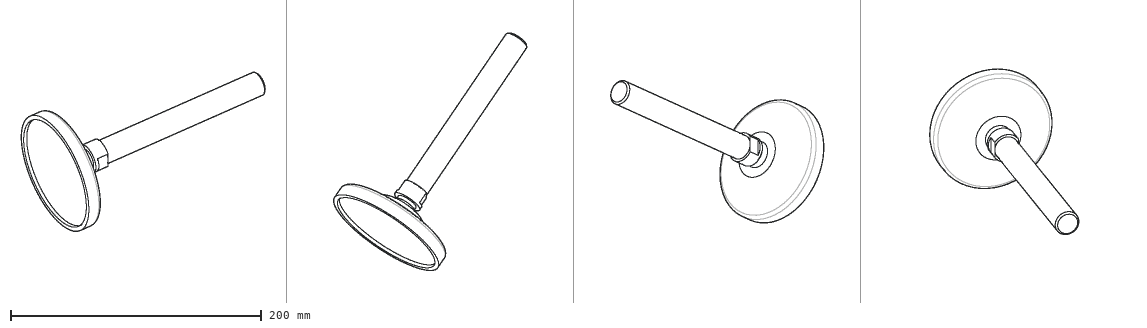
import cadquery as cq
import math

total_length = 194.0

pad_radius = 100.0 / 2
pad_top_radius = 19.0
pad_height = 23.5
rim_height = 12.2
rim_round = 2.7
flare_sag = 1.5
recess_radius = 92.5 / 2
recess_depth = 3.0

ball_radius = 11.3
ball_center = 20.8
neck_radius = 17.0 / 2

collar_radius = 24.0 / 2
collar_bottom = 31.0
collar_top = 43.8
flat_bottom = 34.0
flat_spacing = 20.0

rod_radius = 20.0 / 2
rod_chamfer = 1.5


def cylinder(radius, start, end):
    """Solid cylinder on the Y axis between two heights."""
    return cq.Workplane("XZ", origin=(0, start, 0)).circle(radius).extrude(start - end)


def make_pad():
    """Revolved pad with a concave flare, a rounded rim and a recessed underside."""
    flare_end_radius = pad_radius - rim_round
    flare_run = flare_end_radius - pad_top_radius
    flare_drop = pad_height - rim_height
    flare_chord = math.hypot(flare_run, flare_drop)
    flare_middle = (
        (flare_end_radius + pad_top_radius) / 2 - flare_sag * flare_drop / flare_chord,
        (pad_height + rim_height) / 2 - flare_sag * flare_run / flare_chord,
    )
    round_start = rim_height - rim_round
    round_middle = (
        flare_end_radius + rim_round * math.sqrt(0.5),
        round_start + rim_round * math.sqrt(0.5),
    )
    return (
        cq.Workplane("XY")
        .moveTo(0, recess_depth)
        .lineTo(recess_radius, recess_depth)
        .lineTo(recess_radius, 0)
        .lineTo(pad_radius, 0)
        .lineTo(pad_radius, round_start)
        .threePointArc(round_middle, (flare_end_radius, rim_height))
        .threePointArc(flare_middle, (pad_top_radius, pad_height))
        .lineTo(0, pad_height)
        .close()
        .revolve(360, (0, 0, 0), (0, 1, 0))
    )


def make_ball_and_neck():
    """Ball seated in the pad, with the neck rising from it to the collar."""
    ball = cq.Workplane("XY").sphere(ball_radius).translate((0, ball_center, 0))
    return ball.union(cylinder(neck_radius, ball_center, collar_bottom))


def make_collar():
    """Collar cut by two parallel flats, leaving a full round flange at its lower end."""
    flange = cylinder(collar_radius, collar_bottom, flat_bottom)
    flat_length = collar_top - flat_bottom
    flats = cq.Workplane("XY").box(flat_spacing, flat_length, 2 * collar_radius)
    flats = flats.translate((0, flat_bottom + flat_length / 2, 0))
    return flange.union(cylinder(collar_radius, flat_bottom, collar_top).intersect(flats))


def make_rod():
    """Plain rod with a chamfered free end."""
    return cylinder(rod_radius, collar_top, total_length).faces(">Y").chamfer(rod_chamfer)


result = make_pad().union(make_ball_and_neck()).union(make_collar()).union(make_rod())